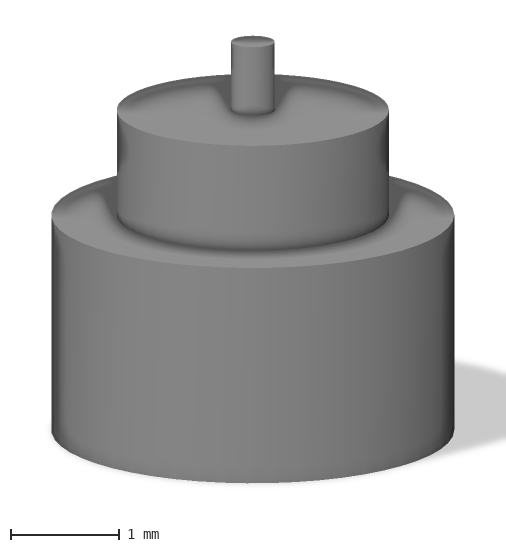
import cadquery as cq

body_diameter = 3.7
total_height = 3.7

shoulder_diameter = 2.5
pin_diameter = 0.4
body_height = 2.05
shoulder_height = 1.0
pin_height = total_height - body_height - shoulder_height


def add_cylinder(solid, diameter, height):
    """Stack a coaxial cylinder on the top face of the solid."""
    return solid.faces(">Z").workplane().circle(diameter / 2).extrude(height)


result = cq.Workplane("XY").circle(body_diameter / 2).extrude(body_height)

result = add_cylinder(result, shoulder_diameter, shoulder_height)
result = add_cylinder(result, pin_diameter, pin_height)